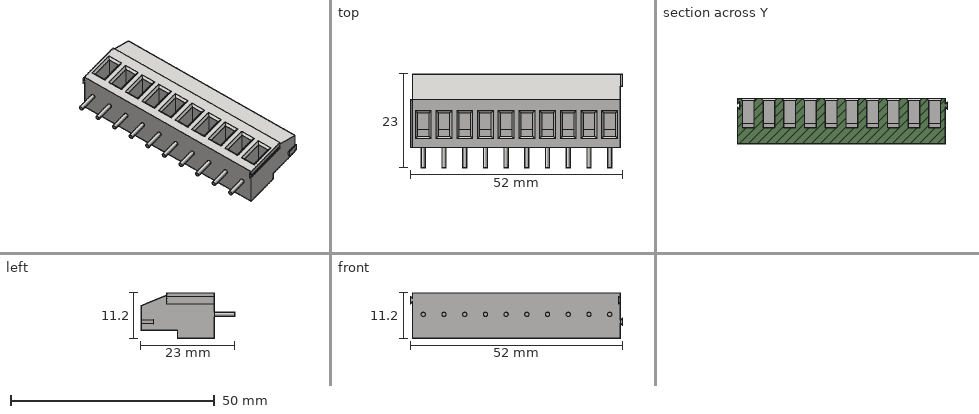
import cadquery as cq

pole_count = 10
pitch = 5.08
end_margin = 0.11
body_length = pole_count * pitch + 2 * end_margin
body_depth = 18.0
body_height = 11.2

ledge_depth = 8.9
ledge_height = 2.0
slope_depth = 6.25
shoulder_high = 10.6
shoulder_low = 8.05

pin_diameter = 1.05
pin_length = 5.0
pin_height = 5.9

window_width = 3.9
window_length = 6.85
window_front = 2.2
funnel_inset = 0.55
funnel_depth = 0.6
pocket_floor = 4.0
step_floor = 5.0
step_front = 4.4

dovetail_wide = 1.8
dovetail_neck = 0.8
upper_reach = 0.5
upper_height = 9.4
lower_reach = 0.5
lower_height = 4.1
lower_length = 3.0

left_end = -body_length / 2
right_end = body_length / 2
shoulder_y = body_depth - slope_depth
pole_positions = [(index - (pole_count - 1) / 2) * pitch for index in range(pole_count)]


def make_housing():
    """Stepped, sloped side profile extruded along the row."""
    return (
        cq.Workplane("YZ", origin=(left_end, 0, 0))
        .moveTo(0, 0)
        .lineTo(body_depth - ledge_depth, 0)
        .lineTo(body_depth - ledge_depth, ledge_height)
        .lineTo(body_depth, ledge_height)
        .lineTo(body_depth, shoulder_low)
        .lineTo(shoulder_y, shoulder_high)
        .lineTo(shoulder_y, body_height)
        .lineTo(0, body_height)
        .close()
        .extrude(body_length)
    )


def make_dovetail(neck_x, wide_x, height, start_y, end_y):
    """Dovetail bar along Y, narrow at neck_x and wide at wide_x."""
    return (
        cq.Workplane("XZ", origin=(0, start_y, 0))
        .moveTo(neck_x, height - dovetail_neck / 2)
        .lineTo(wide_x, height - dovetail_wide / 2)
        .lineTo(wide_x, height + dovetail_wide / 2)
        .lineTo(neck_x, height + dovetail_neck / 2)
        .close()
        .extrude(start_y - end_y)
    )


def make_window(x):
    """Funnel mouth over a straight pocket whose floor is raised at the front."""
    center_y = window_front + window_length / 2
    inner_width = window_width - 2 * funnel_inset
    inner_length = window_length - 2 * funnel_inset
    inner_front = window_front + funnel_inset
    funnel = (
        cq.Workplane("XY", origin=(x, center_y, body_height))
        .rect(window_width, window_length)
        .workplane(offset=-funnel_depth)
        .rect(inner_width, inner_length)
        .loft(ruled=True)
    )
    pocket_top = body_height - funnel_depth
    pocket = (
        cq.Workplane("XY", origin=(x, center_y, pocket_floor))
        .rect(inner_width, inner_length)
        .extrude(pocket_top - pocket_floor)
    )
    step = cq.Workplane("XY", origin=(x, inner_front, pocket_floor)).box(
        inner_width, step_front - inner_front, step_floor - pocket_floor, centered=(True, False, False)
    )
    return funnel.union(pocket.cut(step))


def make_pin(x):
    """Round solder pin standing out of the front face."""
    return cq.Workplane("XZ", origin=(x, 0, pin_height)).circle(pin_diameter / 2).extrude(pin_length)


result = make_housing()

result = result.union(make_dovetail(left_end, left_end - upper_reach, upper_height, 0, shoulder_y))
result = result.cut(make_dovetail(right_end, right_end - upper_reach, upper_height, 0, shoulder_y))

lower_start = body_depth - lower_length
result = result.union(make_dovetail(right_end, right_end + lower_reach, lower_height, lower_start, body_depth))
result = result.cut(make_dovetail(left_end, left_end + lower_reach, lower_height, lower_start, body_depth))

for pole_x in pole_positions:
    result = result.cut(make_window(pole_x))
    result = result.union(make_pin(pole_x))